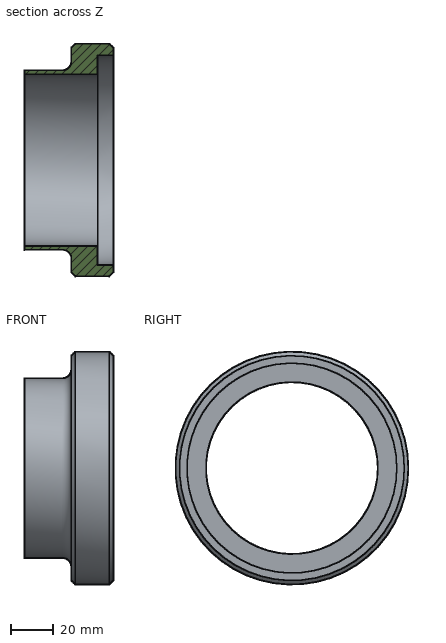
import cadquery as cq

flange_diameter = 110.0
neck_diameter = 85.0
bore_diameter = 81.0
total_length = 42.0
flange_thickness = 20.0
flange_chamfer = 2.0
neck_fillet = 4.0
recess_diameter = 99.0
recess_depth = 7.5

neck_length = total_length - flange_thickness


def cylinder_along_x(diameter, start, length):
    """Solid cylinder on the X axis, beginning at the given X position."""
    return cq.Workplane("YZ", origin=(start, 0, 0)).circle(diameter / 2).extrude(length)


flange = cylinder_along_x(flange_diameter, neck_length, flange_thickness)
flange = flange.edges().chamfer(flange_chamfer)

neck = cylinder_along_x(neck_diameter, 0, neck_length)
body = flange.union(neck)
neck_edges = body.edges(cq.selectors.RadiusNthSelector(0))
body = neck_edges.edges(">X").fillet(neck_fillet)

bore = cylinder_along_x(bore_diameter, 0, total_length)
body = body.cut(bore)

recess = cylinder_along_x(recess_diameter, total_length - recess_depth, recess_depth)
result = body.cut(recess)